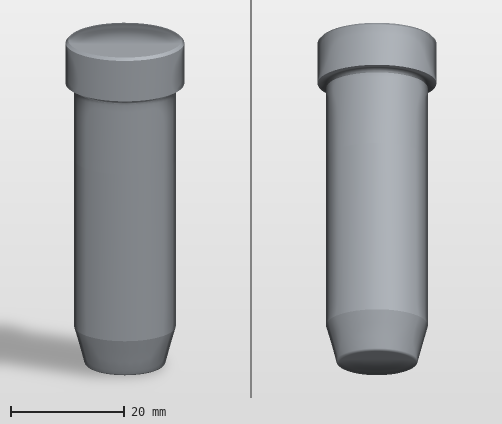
import cadquery as cq

total_height = 60.0
head_radius = 10.5
head_height = 8.0
head_chamfer = 0.5
shank_radius = 9.0
neck_radius = 8.5
neck_height = 0.9
neck_fillet = 0.5
joint_height = 38.0
taper_height = 7.0
tip_radius = 7.1
tip_fillet = 0.5

head_bottom = total_height - head_height
neck_bottom = head_bottom - neck_height


def make_headed_pin():
    """Upper body: chamfered head, relief neck and the top of the shank."""
    return (
        cq.Workplane("XZ")
        .moveTo(0, joint_height)
        .lineTo(shank_radius, joint_height)
        .lineTo(shank_radius, neck_bottom)
        .lineTo(neck_radius, neck_bottom)
        .lineTo(neck_radius, head_bottom - neck_fillet)
        .radiusArc((neck_radius + neck_fillet, head_bottom), neck_fillet)
        .lineTo(head_radius, head_bottom)
        .lineTo(head_radius, total_height)
        .lineTo(0, total_height)
        .close()
        .revolve(360, (0, 0, 0), (0, 1, 0))
        .faces(">Z")
        .edges()
        .chamfer(head_chamfer)
    )


def make_tapered_shank():
    """Lower body: cylinder, conical lead-in and rounded tip."""
    return (
        cq.Workplane("XZ")
        .moveTo(0, 0)
        .lineTo(tip_radius, 0)
        .lineTo(shank_radius, taper_height)
        .lineTo(shank_radius, joint_height)
        .lineTo(0, joint_height)
        .close()
        .revolve(360, (0, 0, 0), (0, 1, 0))
        .faces("<Z")
        .edges()
        .fillet(tip_fillet)
    )


headed_pin = make_headed_pin()
tapered_shank = make_tapered_shank()

result = cq.Compound.makeCompound([headed_pin.val(), tapered_shank.val()])